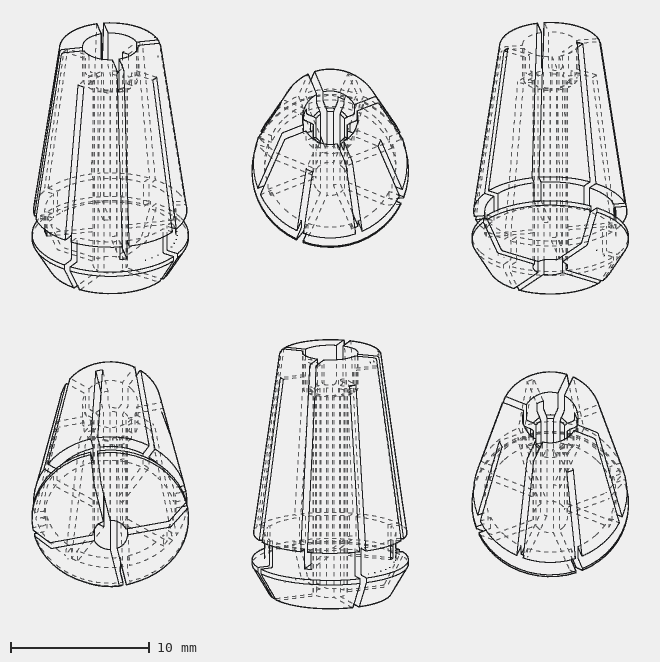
import cadquery as cq
import math

total_height = 18.0
rim_bottom = 2.16
rim_top = 2.5
groove_top = 4.5

rim_radius = 5.65
groove_radius = 4.73
taper_large_radius = 5.55
taper_angle = 8.0
foot_angle = 30.0

small_bore_radius = 1.25
large_bore_radius = 2.0
bore_step_height = 15.2

edge_fillet = 0.2
groove_fillet = 0.1
bore_chamfer = 0.2

slot_width = 0.5
foot_slot_end = 16.5
nose_slot_end = 3.0

foot_radius = rim_radius - rim_bottom * math.tan(math.radians(foot_angle))
taper_height = total_height - groove_top
nose_radius = taper_large_radius - taper_height * math.tan(math.radians(taper_angle))


def make_body():
    """Turned outside: foot cone, rim, groove and clamping taper."""
    body = (
        cq.Workplane("XZ")
        .lineTo(foot_radius, 0)
        .lineTo(rim_radius, rim_bottom)
        .lineTo(rim_radius, rim_top)
        .lineTo(groove_radius + groove_fillet, rim_top)
        .tangentArcPoint((groove_radius, rim_top + groove_fillet), relative=False)
        .lineTo(groove_radius, groove_top)
        .lineTo(taper_large_radius, groove_top)
        .lineTo(nose_radius, total_height)
        .lineTo(0, total_height)
        .close()
        .revolve(360, (0, 0), (0, 1))
    )
    return body.faces("<Z or >Z").edges().fillet(edge_fillet)


def make_bore():
    """Through bore with a wider, round-cornered counterbore at the nose."""
    small_bore = cq.Workplane("XY").circle(small_bore_radius).extrude(total_height)
    step_plane = cq.Workplane("XY", origin=(0, 0, bore_step_height))
    mouth = step_plane.circle(small_bore_radius + bore_chamfer).extrude(-bore_chamfer, taper=45)
    counterbore = (
        step_plane.circle(large_bore_radius)
        .extrude(total_height - bore_step_height)
        .faces("<Z").edges().fillet(edge_fillet)
    )
    return small_bore.union(mouth).union(counterbore)


def make_cross(bottom, top, angle):
    """Two crossed slots through the axis, turned by the given angle."""
    height = top - bottom
    length = 2 * rim_radius + slot_width
    cross = cq.Workplane("XY")
    for turn in (angle, angle + 90):
        slot = cq.Workplane("XY").box(length, slot_width, height, centered=(True, True, False))
        cross = cross.add(slot.rotate((0, 0, 0), (0, 0, 1), turn).translate((0, 0, bottom)))
    return cross.combine()


foot_slots = make_cross(0, foot_slot_end, 0)
nose_slots = make_cross(nose_slot_end, total_height, 45)

result = make_body().cut(make_bore()).cut(foot_slots).cut(nose_slots)